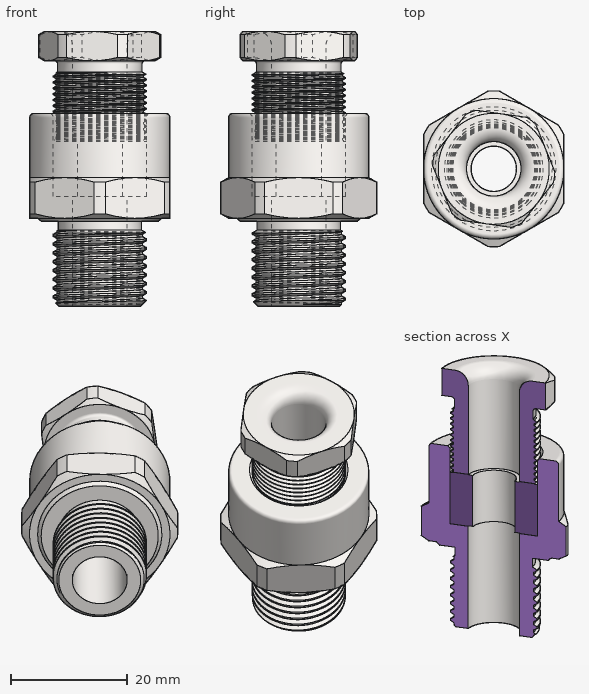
import cadquery as cq
import math

TOTAL_HEIGHT = 47.0
TAN_30 = math.tan(math.radians(30))
THREAD_DIAMETER = 16.0
CREST_CLEARANCE = 0.45
ROOT_OVERLAP = 0.1

HOUSING_HEX_FLATS = 24.0
HOUSING_HEX_CORNERS = 26.7
HOUSING_HEX_BOTTOM = 15.05
HOUSING_HEX_TOP = 22.0
HOUSING_DIAMETER = 24.0
HOUSING_TOP = 33.0
HOUSING_EDGE_RADIUS = 0.75
FLANGE_ROOT_DIAMETER = 21.25
FLANGE_FACE_DIAMETER = 20.0
FLANGE_HEIGHT = 0.5
LOWER_NECK_DIAMETER = 14.3
LOWER_ROOT_DIAMETER = 14.65
LOWER_THREAD_TOP = 13.0
LOWER_PITCH = 1.5
LOWER_CREST_WIDTH = 0.35
LOWER_RIDGE_PHASE = 11.37 % LOWER_PITCH
LOWER_END_CHAMFER = 1.0
CABLE_PASSAGE_DIAMETER = 9.4
CHAMBER_FLOOR = 18.8
CHAMBER_MOUTH_DIAMETER = 16.83

NUT_HEX_FLATS = 19.0
NUT_HEX_CORNERS = 20.9
NUT_HEX_HEIGHT = 5.05
NUT_TURN = -8.0
UPPER_NECK_DIAMETER = 14.5
UPPER_ROOT_DIAMETER = 15.0
UPPER_THREAD_TOP = 40.05
UPPER_PITCH = 1.0
UPPER_CREST_WIDTH = 0.15
UPPER_RIDGE_PHASE = 38.78 % UPPER_PITCH
UPPER_END_CHAMFER = 0.45
NUT_BOTTOM = 28.2
NUT_BORE_DIAMETER = 9.3
NUT_MOUTH_DIAMETER = 14.3
NECK_FILLET = 0.5

SEAL_BORE_DIAMETER = 7.7

NUT_HEX_BOTTOM = TOTAL_HEIGHT - NUT_HEX_HEIGHT


def cylinder(diameter, bottom, top):
    return cq.Workplane("XY").workplane(offset=bottom).circle(diameter / 2).extrude(top - bottom)


def revolved(outline):
    """Turn a closed outline in (radius, height) around Z."""
    return outline.close().revolve(360, (0, 0, 0), (0, 1, 0))


def chamfered_hexagon(flats, corners, bottom, top, corner_angle):
    """Hexagon with turned-down corners and a 30 degree chamfer at both ends."""
    flat_radius = flats / 2
    corner_radius = corners / 2
    drop = (corner_radius - flat_radius) * TAN_30
    hexagon = (
        cq.Workplane("XY").workplane(offset=bottom)
        .polygon(6, flats / math.cos(math.radians(30)))
        .extrude(top - bottom)
        .rotate((0, 0, 0), (0, 0, 1), corner_angle)
    )
    turned_blank = revolved(
        cq.Workplane("XZ").moveTo(0, bottom).lineTo(flat_radius, bottom)
        .lineTo(corner_radius, bottom + drop).lineTo(corner_radius, top - drop)
        .lineTo(flat_radius, top).lineTo(0, top)
    )
    return hexagon.intersect(turned_blank)


def hex_flange():
    """Bearing flange below the housing hexagon, tapering downwards."""
    bottom = HOUSING_HEX_BOTTOM - FLANGE_HEIGHT
    return revolved(
        cq.Workplane("XZ").moveTo(0, bottom).lineTo(FLANGE_FACE_DIAMETER / 2, bottom)
        .lineTo(FLANGE_ROOT_DIAMETER / 2, HOUSING_HEX_BOTTOM).lineTo(0, HOUSING_HEX_BOTTOM)
    )


def neck_collar():
    """Collar that flares through a concave fillet into the underside of the nut's head."""
    radius = UPPER_NECK_DIAMETER / 2
    bottom = NUT_HEX_BOTTOM - NECK_FILLET
    bulge = NECK_FILLET * (1 - math.sqrt(0.5))
    return revolved(
        cq.Workplane("XZ").moveTo(0, bottom).lineTo(radius, bottom)
        .threePointArc((radius + bulge, NUT_HEX_BOTTOM - bulge), (radius + NECK_FILLET, NUT_HEX_BOTTOM))
        .lineTo(0, NUT_HEX_BOTTOM)
    )


def thread_envelope(neck_diameter, bottom, top, end_chamfer):
    """Solid that gives a thread its chamfered lower end and its taper up to the neck.

    The end cones run past the crests, so the crest surface itself is never trimmed.
    """
    crest_radius = THREAD_DIAMETER / 2
    neck_radius = neck_diameter / 2
    clear_radius = crest_radius + CREST_CLEARANCE
    return revolved(
        cq.Workplane("XZ").moveTo(0, bottom).lineTo(crest_radius - end_chamfer, bottom)
        .lineTo(clear_radius, bottom + end_chamfer + CREST_CLEARANCE)
        .lineTo(clear_radius, top - (clear_radius - neck_radius) * TAN_30)
        .lineTo(neck_radius, top).lineTo(0, top)
    )


def thread_ridge(root_diameter, pitch, crest_width, ridge_phase, bottom, top):
    """Right-hand helical ridge that overruns the threaded length at both ends."""
    crest_radius = THREAD_DIAMETER / 2
    inner_radius = root_diameter / 2 - ROOT_OVERLAP
    half_crest = crest_width / 2
    half_base = half_crest + (crest_radius - inner_radius) * TAN_30
    start = ridge_phase + pitch * (math.floor((bottom - ridge_phase) / pitch) - 1)
    turns = math.ceil((top - start) / pitch) + 1
    path = cq.Wire.makeHelix(pitch, turns * pitch, inner_radius, cq.Vector(0, 0, start))
    return (
        cq.Workplane("XZ")
        .polyline([
            (inner_radius, start - half_base),
            (crest_radius, start - half_crest),
            (crest_radius, start + half_crest),
            (inner_radius, start + half_base),
        ])
        .close()
        .sweep(cq.Workplane(path), isFrenet=True)
    )


def make_housing():
    envelope = thread_envelope(LOWER_NECK_DIAMETER, 0, LOWER_THREAD_TOP, LOWER_END_CHAMFER)
    core = cylinder(LOWER_ROOT_DIAMETER, 0, LOWER_THREAD_TOP).intersect(envelope)
    ridge = thread_ridge(
        LOWER_ROOT_DIAMETER, LOWER_PITCH, LOWER_CREST_WIDTH, LOWER_RIDGE_PHASE, 0, LOWER_THREAD_TOP
    ).intersect(envelope)
    neck = cylinder(LOWER_NECK_DIAMETER, LOWER_THREAD_TOP, HOUSING_HEX_BOTTOM)
    hexagon = chamfered_hexagon(
        HOUSING_HEX_FLATS, HOUSING_HEX_CORNERS, HOUSING_HEX_BOTTOM, HOUSING_HEX_TOP, 30
    )
    barrel = (
        cylinder(HOUSING_DIAMETER, HOUSING_HEX_TOP, HOUSING_TOP)
        .faces(">Z").edges().fillet(HOUSING_EDGE_RADIUS)
    )
    passage = cylinder(CABLE_PASSAGE_DIAMETER, 0, CHAMBER_FLOOR)
    body = hexagon.union(barrel).union(hex_flange()).union(neck).union(core)
    return body.cut(passage).cut(seal_chamber()).union(ridge)


def seal_chamber():
    """Seal chamber with a 45 degree chamfer at its mouth."""
    radius = THREAD_DIAMETER / 2
    mouth_radius = CHAMBER_MOUTH_DIAMETER / 2
    return revolved(
        cq.Workplane("XZ").moveTo(0, CHAMBER_FLOOR).lineTo(radius, CHAMBER_FLOOR)
        .lineTo(radius, HOUSING_TOP - (mouth_radius - radius))
        .lineTo(mouth_radius, HOUSING_TOP).lineTo(0, HOUSING_TOP)
    )


def make_gland_nut():
    head = chamfered_hexagon(NUT_HEX_FLATS, NUT_HEX_CORNERS, NUT_HEX_BOTTOM, TOTAL_HEIGHT, NUT_TURN)
    neck = cylinder(UPPER_NECK_DIAMETER, UPPER_THREAD_TOP, NUT_HEX_BOTTOM)
    envelope = thread_envelope(UPPER_NECK_DIAMETER, NUT_BOTTOM, UPPER_THREAD_TOP, UPPER_END_CHAMFER)
    core = cylinder(UPPER_ROOT_DIAMETER, NUT_BOTTOM, UPPER_THREAD_TOP).intersect(envelope)
    ridge = thread_ridge(
        UPPER_ROOT_DIAMETER, UPPER_PITCH, UPPER_CREST_WIDTH, UPPER_RIDGE_PHASE, NUT_BOTTOM, UPPER_THREAD_TOP
    ).intersect(envelope)
    return head.union(neck_collar()).union(neck).union(core).cut(nut_bore()).union(ridge)


def nut_bore():
    """Straight bore that opens into a rounded, trumpet-shaped mouth."""
    radius = NUT_BORE_DIAMETER / 2
    mouth_radius = NUT_MOUTH_DIAMETER / 2
    rounding = mouth_radius - radius
    bulge = rounding * (1 - math.sqrt(0.5))
    return revolved(
        cq.Workplane("XZ").moveTo(0, NUT_BOTTOM).lineTo(radius, NUT_BOTTOM)
        .lineTo(radius, TOTAL_HEIGHT - rounding)
        .threePointArc((radius + bulge, TOTAL_HEIGHT - bulge), (mouth_radius, TOTAL_HEIGHT))
        .lineTo(0, TOTAL_HEIGHT)
    )


def make_seal():
    """Plain ring that fills the chamber between its floor and the nut."""
    bore = cylinder(SEAL_BORE_DIAMETER, CHAMBER_FLOOR, NUT_BOTTOM)
    return cylinder(THREAD_DIAMETER, CHAMBER_FLOOR, NUT_BOTTOM).cut(bore)


housing = make_housing()
gland_nut = make_gland_nut()
seal = make_seal()

result = cq.Compound.makeCompound([housing.val(), gland_nut.val(), seal.val()])